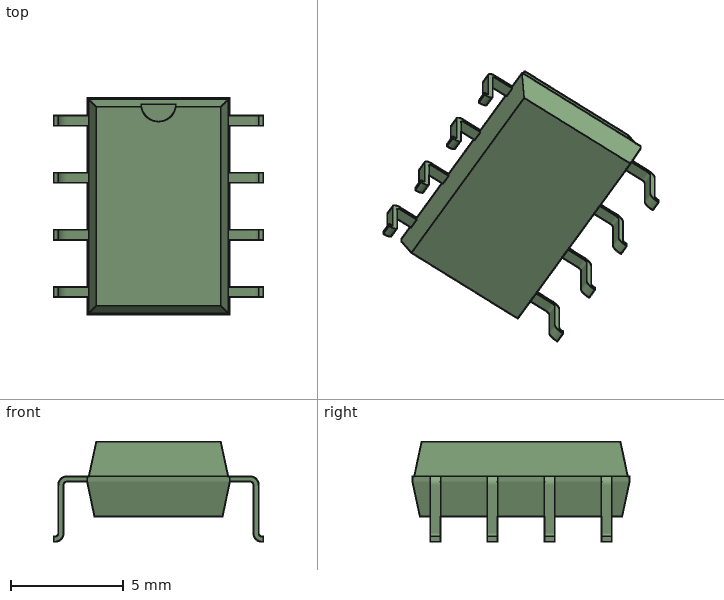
import cadquery as cq

body_width = 6.35
body_length = 9.65
upper_height = 1.53
lower_height = 1.55
band_ledge = 0.08
side_taper = 0.33

lead_span = 9.31
lead_width = 0.46
lead_thickness = 0.24
lead_pitch = 2.54
leads_per_side = 4
inner_bend_radius = 0.14
toe_flat = 0.06
root_embed = 0.24
overall_height = 4.45

notch_radius = 0.77
notch_depth = 0.54

band_height = lead_thickness
outer_bend_radius = inner_bend_radius + lead_thickness
band_top = overall_height - upper_height
band_bottom = band_top - band_height
taper_per_height = side_taper / upper_height


def tapered_half(base_z, inset, height):
    """Block that narrows by side_taper on every side, away from base_z."""
    width = body_width - 2 * inset
    length = body_length - 2 * inset
    return (
        cq.Workplane("XY", origin=(0, 0, base_z))
        .rect(width, length)
        .workplane(offset=height)
        .rect(width - 2 * side_taper, length - 2 * side_taper)
        .loft(combine=True, ruled=True)
    )


def make_body():
    band = (
        cq.Workplane("XY", origin=(0, 0, band_bottom))
        .box(body_width, body_length, band_height, centered=(True, True, False))
    )
    upper = tapered_half(band_top, band_ledge, upper_height)
    lower = tapered_half(band_bottom, 0, -lower_height)
    return band.union(upper).union(lower)


def make_notch():
    """Cylinder centred where the notch floor meets the sloping end face."""
    top_edge_y = body_length / 2 - band_ledge - side_taper
    notch_y = top_edge_y + notch_depth * taper_per_height
    return (
        cq.Workplane("XY", origin=(0, notch_y, overall_height - notch_depth))
        .circle(notch_radius)
        .extrude(notch_depth)
    )


def make_lead():
    """Lead on the +X side: out of the band, down, then a short outward toe."""
    toe_x = lead_span / 2
    root_x = body_width / 2 - root_embed
    toe_bend_x = toe_x - toe_flat
    leg_outer_x = toe_bend_x - inner_bend_radius
    leg_inner_x = leg_outer_x - lead_thickness
    shoulder_x = leg_outer_x - outer_bend_radius
    shoulder_z = band_top - outer_bend_radius
    under_z = band_top - lead_thickness
    return (
        cq.Workplane("XZ")
        .moveTo(root_x, band_top)
        .lineTo(shoulder_x, band_top)
        .radiusArc((leg_outer_x, shoulder_z), outer_bend_radius)
        .lineTo(leg_outer_x, outer_bend_radius)
        .radiusArc((toe_bend_x, lead_thickness), -inner_bend_radius)
        .lineTo(toe_x, lead_thickness)
        .lineTo(toe_x, 0)
        .lineTo(toe_bend_x, 0)
        .radiusArc((leg_inner_x, outer_bend_radius), outer_bend_radius)
        .lineTo(leg_inner_x, shoulder_z)
        .radiusArc((shoulder_x, under_z), -inner_bend_radius)
        .lineTo(root_x, under_z)
        .close()
        .extrude(lead_width / 2, both=True)
    )


result = make_body().cut(make_notch())
right_lead = make_lead()
left_lead = right_lead.mirror("YZ")
for index in range(leads_per_side):
    lead_y = (index - (leads_per_side - 1) / 2) * lead_pitch
    for lead in (right_lead, left_lead):
        result = result.union(lead.translate((0, lead_y, 0)))